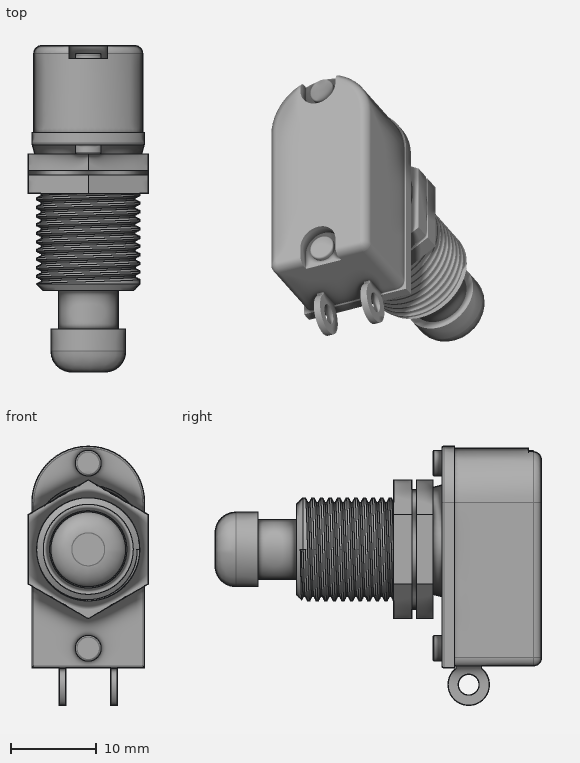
import cadquery as cq
import math


PLATE_HALF_WIDTH = 6.57
PLATE_TOP = 12.0
PLATE_HEIGHT = 25.8
PLATE_EDGE_FILLET = 0.23
CASE_INSET = 0.23
CASE_EDGE_FILLET = 0.95
CASE_CORNER_FILLET = 1.0
ARC_CENTRE_Z = PLATE_TOP - PLATE_HALF_WIDTH
PLATE_BOTTOM = PLATE_TOP - PLATE_HEIGHT

PLATE_BACK = 10.1
PLATE_FRONT = 11.6
BOSS_FRONT = 12.6
REAR_NUT_FRONT = 14.55
WASHER_FRONT = 15.1
FRONT_NUT_FRONT = 17.2
BUSHING_FRONT = 28.55
CAP_BACK = 33.0
CAP_FRONT = 38.0

RIVET_DIAMETER = 3.0
RIVET_HEIGHTS = (10.05, -11.5)
RIVET_TAIL_STATION = 0.9
RIVET_FILLET = 0.2
RECESS_WIDTH = 4.52
RECESS_DEPTH = 1.52

BOSS_CENTRE_Z = 1.0
BOSS_BACK_DIAMETER = 13.0
BOSS_FRONT_DIAMETER = 12.45
NUT_ACROSS_FLATS = 14.0
NUT_ACROSS_CORNERS = NUT_ACROSS_FLATS / math.cos(math.pi / 6)
WASHER_DIAMETER = NUT_ACROSS_FLATS
THREAD_DIAMETER = 12.0
BUSHING_CHAMFER = 0.75
BORE_DIAMETER = 7.5
BORE_DEPTH = 3.8
BORE_CHAMFER = 0.75

THREAD_DEPTH = 0.55
GROOVE_MOUTH = 0.75
GROOVE_ROOT = 0.23
GROOVE_OVERSHOOT = 0.08
GROOVE_START = 15.85
GROOVE_LENGTH = 12.0
GROOVE_TURNS = 12
THREAD_PITCH = GROOVE_LENGTH / GROOVE_TURNS

SHAFT_DIAMETER = 7.0
CAP_DIAMETER = 8.7
CAP_FILLET = 2.45

LUG_X = 3.0
LUG_THICKNESS = 0.8
LUG_STATION = 8.47
LUG_DIAMETER = 4.83
LUG_HOLE_DIAMETER = 2.4
LUG_NECK_WIDTH = 3.0
LUG_LOWEST_Z = -18.15
LUG_EMBED = 1.15


def plane_at(station):
    """Workplane facing -Y with local x = X and local y = Z."""
    return cq.Workplane("XZ", origin=(0, -station, 0))


def disc(diameter, start, end, z=0.0):
    return plane_at(start).center(0, z).circle(diameter / 2).extrude(end - start)


def cone(start_diameter, end_diameter, start, end, z=0.0):
    return (
        plane_at(start)
        .center(0, z)
        .circle(start_diameter / 2)
        .workplane(offset=end - start)
        .circle(end_diameter / 2)
        .loft()
    )


def round_topped_block(inset, start, end):
    half_width = PLATE_HALF_WIDTH - inset
    bottom = PLATE_BOTTOM + inset
    return (
        plane_at(start)
        .moveTo(-half_width, bottom)
        .lineTo(half_width, bottom)
        .lineTo(half_width, ARC_CENTRE_Z)
        .threePointArc((0, ARC_CENTRE_Z + half_width), (-half_width, ARC_CENTRE_Z))
        .close()
        .extrude(end - start)
    )


def make_case():
    case = round_topped_block(CASE_INSET, 0, PLATE_BACK)
    case = case.edges("|Y").edges("<Z").fillet(CASE_CORNER_FILLET)
    case = case.faces(">Y").edges().fillet(CASE_EDGE_FILLET)
    plate = round_topped_block(0, PLATE_BACK, PLATE_FRONT)
    plate = plate.faces("<Y").edges().fillet(PLATE_EDGE_FILLET)
    return case.union(plate)


def add_rivet(body, z):
    """Head on the cover plate; tail in a round-ended recess open to the nearer end of the case."""
    outward = math.copysign(RECESS_WIDTH, z)
    mouth = plane_at(0).center(0, z + outward / 2).rect(RECESS_WIDTH, RECESS_WIDTH)
    body = body.cut(mouth.extrude(RECESS_DEPTH))
    body = body.cut(disc(RECESS_WIDTH, 0, RECESS_DEPTH, z))
    rivet = disc(RIVET_DIAMETER, RIVET_TAIL_STATION, BOSS_FRONT, z)
    return body.union(rivet.faces("|Y").edges().fillet(RIVET_FILLET))


def make_lug(x):
    centre_z = LUG_LOWEST_Z + LUG_DIAMETER / 2
    neck_top = PLATE_BOTTOM + CASE_INSET + LUG_EMBED
    neck_height = neck_top - centre_z
    blank = cq.Workplane("YZ", origin=(x - LUG_THICKNESS / 2, -LUG_STATION, centre_z))
    eye = blank.circle(LUG_DIAMETER / 2).extrude(LUG_THICKNESS)
    neck = blank.center(0, neck_height / 2).rect(LUG_NECK_WIDTH, neck_height).extrude(LUG_THICKNESS)
    hole = blank.circle(LUG_HOLE_DIAMETER / 2).extrude(LUG_THICKNESS)
    return eye.union(neck).cut(hole)


def make_nut(start, end):
    """Hexagon with two corners on the Z direction."""
    hexagon = cq.Workplane("XZ").polygon(6, NUT_ACROSS_CORNERS).extrude(end - start)
    return hexagon.rotate((0, 0, 0), (0, 1, 0), 90).translate((0, -start, 0))


def make_thread_groove():
    """Helical groove of trapezoid section, wound about +Z and then laid along -Y."""
    root_radius = THREAD_DIAMETER / 2 - THREAD_DEPTH
    outer_radius = THREAD_DIAMETER / 2 + GROOVE_OVERSHOOT
    flank_slope = (GROOVE_MOUTH - GROOVE_ROOT) / 2 / THREAD_DEPTH
    outer_half = GROOVE_MOUTH / 2 + flank_slope * GROOVE_OVERSHOOT
    root_half = GROOVE_ROOT / 2
    helix = cq.Wire.makeHelix(THREAD_PITCH, GROOVE_LENGTH, root_radius)
    groove = (
        cq.Workplane("XZ")
        .moveTo(root_radius, -root_half)
        .lineTo(outer_radius, -outer_half)
        .lineTo(outer_radius, outer_half)
        .lineTo(root_radius, root_half)
        .close()
        .sweep(cq.Workplane(obj=helix), isFrenet=True)
    )
    return groove.rotate((0, 0, 0), (1, 0, 0), 90).translate((0, -GROOVE_START, 0))


def make_bushing():
    rod = disc(THREAD_DIAMETER, REAR_NUT_FRONT, BUSHING_FRONT)
    envelope = rod.faces("<Y").edges().chamfer(BUSHING_CHAMFER)
    bushing = rod.cut(make_thread_groove()).intersect(envelope)
    bore = disc(BORE_DIAMETER, BUSHING_FRONT - BORE_DEPTH, BUSHING_FRONT)
    mouth_diameter = BORE_DIAMETER + 2 * BORE_CHAMFER
    countersink = cone(BORE_DIAMETER, mouth_diameter, BUSHING_FRONT - BORE_CHAMFER, BUSHING_FRONT)
    return bushing.cut(bore).cut(countersink)


def make_plunger():
    shaft = disc(SHAFT_DIAMETER, REAR_NUT_FRONT, CAP_BACK)
    cap = disc(CAP_DIAMETER, CAP_BACK, CAP_FRONT).faces("<Y").edges().fillet(CAP_FILLET)
    return shaft.union(cap)


switch = make_case()
for rivet_z in RIVET_HEIGHTS:
    switch = add_rivet(switch, rivet_z)
for lug_x in (-LUG_X, LUG_X):
    switch = switch.union(make_lug(lug_x))
boss = cone(BOSS_BACK_DIAMETER, BOSS_FRONT_DIAMETER, PLATE_FRONT, BOSS_FRONT, BOSS_CENTRE_Z)
switch = switch.union(boss)
switch = switch.union(make_bushing())
switch = switch.union(make_nut(BOSS_FRONT, REAR_NUT_FRONT))
switch = switch.union(disc(WASHER_DIAMETER, REAR_NUT_FRONT, WASHER_FRONT))
switch = switch.union(make_nut(WASHER_FRONT, FRONT_NUT_FRONT))
result = switch.union(make_plunger())